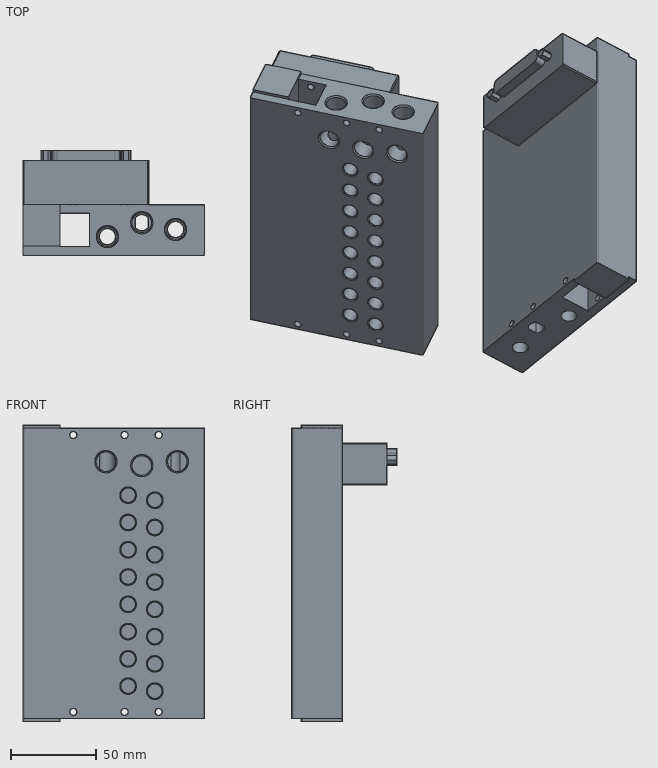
import cadquery as cq

block_length = 106.7
block_depth = 30.0
block_height = 170.5
edge_radius = 0.7

bar_length = 22.0
bar_depth = 24.4
bar_height = 174.0

channel_length = 17.0
channel_depth = 19.3
channel_front = 5.4

mount_diameter = 4.0
mount_x = (29.5, 59.7, 79.7)
mount_end_offset = 4.0

supply_bore = 11.5
supply_mouth = 13.0
supply_lead_in = 0.9
outlet_bore = 8.5
outlet_mouth = 9.7
outlet_lead_in = 0.5
port_depth = 11.5

gallery_diameter = 9.4
galleries = ((49.6, 11.1), (69.8, 19.3), (89.6, 15.3))
flat_gallery_width = 7.5

supply_ports = ((48.7, 65.6), (69.8, 63.3), (90.7, 65.6))

outlet_columns = ((61.8, 46.0), (77.5, 43.0))
outlet_pitch = 16.0
outlet_count = 8

housing_length = 74.0
housing_depth = 26.0
housing_height = 24.7
housing_z = 64.2
housing_chamfer = 0.7

plug_depth = 6.0
plug_x = housing_length / 2
plug_z = 68.4
plug_height = 9.7
plug_top_length = 39.0
plug_bottom_length = 41.0
plug_fillet = 2.8
nut_spacing = 47.2
nut_corners = 5.7
nut_z = 66.6


def cut_port(body, plane, x, y, bore, mouth, lead_in):
    """Cut a flat-bottomed port with a tapered mouth; the plane's normal points out of the body."""
    hole = cq.Workplane(plane).center(x, y).circle(bore / 2).extrude(-port_depth)
    cone = cq.Workplane(plane).center(x, y).circle(mouth / 2).workplane(offset=-lead_in)
    cone = cone.circle(bore / 2).loft(combine=True)
    return body.cut(hole).cut(cone)


def upright_box(length, depth, height, y):
    """Box from X = 0 and the given Y, centred on mid-height."""
    return cq.Workplane("XY").box(length, depth, height, centered=(False, False, True)).translate((0, y, 0))


block = upright_box(block_length, block_depth, block_height, 0)
block = block.edges("|Z").fillet(edge_radius)
bar = upright_box(bar_length, bar_depth, bar_height, block_depth - bar_depth)
bar = bar.edges("|Z").fillet(edge_radius)
body = block.union(bar)

channel = upright_box(channel_length, channel_depth, block_height, channel_front)
body = body.cut(channel.translate((bar_length, 0, 0)))

mount_z = block_height / 2 - mount_end_offset
mount_points = [(x, z) for x in mount_x for z in (-mount_z, mount_z)]
body = body.cut(
    cq.Workplane("XZ").pushPoints(mount_points).circle(mount_diameter / 2).extrude(-block_depth)
)

top_face = cq.Plane(origin=(0, 0, block_height / 2))
gallery_holes = cq.Workplane(top_face).pushPoints(galleries).circle(gallery_diameter / 2)
gallery_holes = gallery_holes.extrude(-block_height)
flat_x = galleries[1][0]
flat_side = cq.Workplane("XY").box(gallery_diameter, block_depth, block_height, centered=(True, False, True))
flat_offset = (flat_gallery_width + gallery_diameter) / 2
for side in (-1, 1):
    gallery_holes = gallery_holes.cut(flat_side.translate((flat_x + side * flat_offset, 0, 0)))
body = body.cut(gallery_holes)
for x, y in galleries:
    body = cut_port(body, top_face, x, y, supply_bore, supply_mouth, supply_lead_in)

front_face = cq.Plane.named("XZ")
for x, z in supply_ports:
    body = cut_port(body, front_face, x, z, supply_bore, supply_mouth, supply_lead_in)
for x, top_z in outlet_columns:
    for i in range(outlet_count):
        z = top_z - i * outlet_pitch
        body = cut_port(body, front_face, x, z, outlet_bore, outlet_mouth, outlet_lead_in)

housing = upright_box(housing_length, housing_depth, housing_height, block_depth)
housing = housing.edges("|Y").chamfer(housing_chamfer).translate((0, 0, housing_z))
body = body.union(housing)

rear_y = block_depth + housing_depth
rear_face = cq.Workplane("XZ", origin=(plug_x, rear_y, 0))
shell = rear_face.polyline([
    (-plug_bottom_length / 2, plug_z - plug_height / 2),
    (plug_bottom_length / 2, plug_z - plug_height / 2),
    (plug_top_length / 2, plug_z + plug_height / 2),
    (-plug_top_length / 2, plug_z + plug_height / 2),
]).close().extrude(-plug_depth).edges("|Y").fillet(plug_fillet)
nuts = rear_face.pushPoints([(-nut_spacing / 2, nut_z), (nut_spacing / 2, nut_z)])
nuts = nuts.polygon(6, nut_corners).extrude(-plug_depth)

result = body.union(shell).union(nuts)